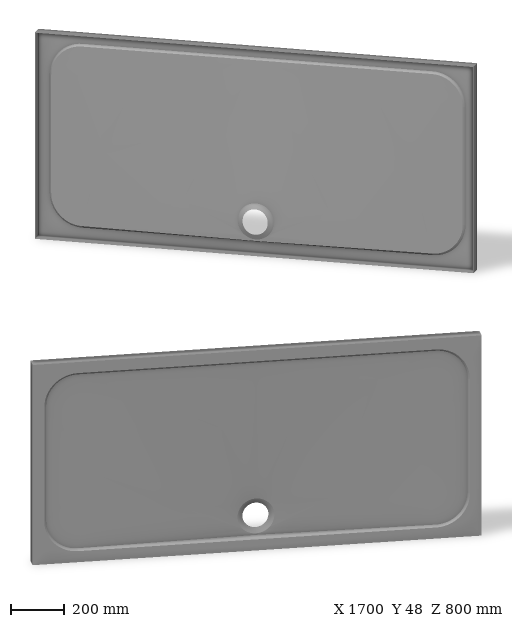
import cadquery as cq
import math

length = 1700.0
height = 48.0
width = 800.0
sheet = 2.0
half_height = height / 2

basin_margin = 45.0
flank_width = 8.0
flank_height = 8.0
basin_corner = 128.0
basin_fall = 16.2

drain_z = -272.0
collar_radius = 70.0
hole_radius = 50.0
collar_height = 10.0

plate_y = half_height - sheet
rim_y = plate_y - flank_height
drain_y = rim_y - basin_fall
collar_y = drain_y - collar_height
through_sheet = cq.Vector(0, sheet, 0)


def half_outline(margin, corner, y, dip=0):
    """Edges of the +X half of a rounded rectangle, running from the middle of its low-Z side to that
    of its high-Z side. The first edge starts lower in Y by the dip."""
    x = length / 2 - margin
    z = width / 2 - margin
    diagonal = corner * (1 - math.sqrt(0.5))
    return [
        cq.Edge.makeLine(cq.Vector(0, y - dip, -z), cq.Vector(x - corner, y, -z)),
        cq.Edge.makeThreePointArc(
            cq.Vector(x - corner, y, -z),
            cq.Vector(x - diagonal, y, -z + diagonal),
            cq.Vector(x, y, -z + corner),
        ),
        cq.Edge.makeLine(cq.Vector(x, y, -z + corner), cq.Vector(x, y, z - corner)),
        cq.Edge.makeThreePointArc(
            cq.Vector(x, y, z - corner),
            cq.Vector(x - diagonal, y, z - diagonal),
            cq.Vector(x - corner, y, z),
        ),
        cq.Edge.makeLine(cq.Vector(x - corner, y, z), cq.Vector(0, y, z)),
    ]


def half_circle(radius, y):
    """The +X half of a circle round the drain axis, running from low Z to high Z."""
    return cq.Edge.makeThreePointArc(
        cq.Vector(0, y, drain_z - radius),
        cq.Vector(radius, y, drain_z),
        cq.Vector(0, y, drain_z + radius),
    )


def joined(first, second):
    """Straight edges joining the starts and the ends of two chains of edges."""
    return [
        cq.Edge.makeLine(first[0].startPoint(), second[0].startPoint()),
        cq.Edge.makeLine(first[-1].endPoint(), second[-1].endPoint()),
    ]


def ruled(first, second):
    """Faces spanning two matching chains of edges."""
    return [cq.Face.makeRuledSurface(a, b) for a, b in zip(first, second)]


def half_skin():
    """The +X half of the dish's underside, from the foot of its flank to the drain hole."""
    foot = half_outline(basin_margin, basin_corner, plate_y)
    rim = half_outline(basin_margin + flank_width, basin_corner - flank_width, rim_y, basin_fall)
    collar_foot = [half_circle(collar_radius, drain_y)]
    collar_top = [half_circle(hole_radius, collar_y)]
    floor = cq.Face.makeNSidedSurface(rim + collar_foot + joined(rim, collar_foot), [], degree=2)
    return ruled(foot, rim) + [floor] + ruled(collar_foot, collar_top)


def mirrored(shapes):
    """The given +X shapes together with their -X mirror images."""
    return shapes + [shape.mirror("YZ") for shape in shapes]


def dish_faces():
    """Both sides of the dish, one sheet thickness apart along Y, and the edge of the drain hole."""
    skin = half_skin()
    hole_edge = half_circle(hole_radius, collar_y)
    hole_wall = cq.Face.makeRuledSurface(hole_edge, hole_edge.translate(through_sheet))
    return mirrored(skin + [face.translate(through_sheet) for face in skin] + [hole_wall])


def frame_faces():
    """Rim walls and the flat border of the floor, left open where the dish joins on."""
    block = cq.Workplane("XY").box(length, height, width)
    cavity = cq.Workplane("XY").box(length - 2 * sheet, height, width - 2 * sheet)
    outline = cq.Wire.combine(mirrored(half_outline(basin_margin, basin_corner, plate_y)))[0]
    opening = cq.Solid.extrudeLinear(outline, [], through_sheet)
    frame = block.cut(cavity.translate((0, -sheet, 0))).cut(cq.Workplane(obj=opening), clean=False)
    sheet_middle = (plate_y + half_height) / 2
    return [face for face in frame.faces().vals() if abs(face.Center().y - sheet_middle) > sheet / 4]


tray_shell = cq.Shell.makeShell(frame_faces() + dish_faces())
result = cq.Workplane(obj=cq.Solid.makeSolid(tray_shell).fix())